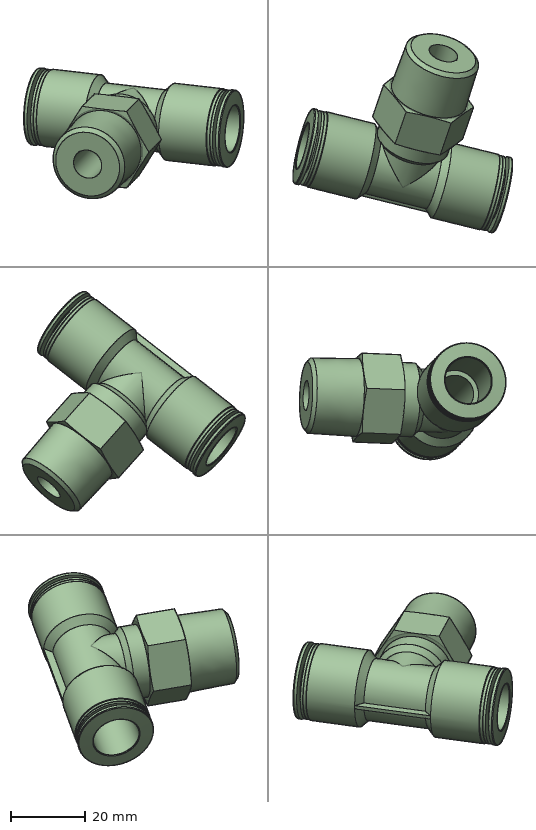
import cadquery as cq
import math

run_half_length = 28.25
socket_radius = 21.0 / 2
socket_tip_radius = 20.7 / 2
socket_inner_end = 10.6
socket_outer_end = 25.9
tip_step = 24.1
tip_step_length = 0.15
tip_groove = 25.1
tip_groove_width = 0.1
tip_groove_depth = 0.05
neck_radius = 8.5

collar_stem_radius = 14.1 / 2
collar_inner_face = 26.85
collar_rim_start = 27.6
collar_rim_end = 27.9
collar_rim_radius = 10.35
collar_stem_step = 26.5
collar_stem_wide_radius = 7.2

tube_bore_radius = 12.7 / 2
tube_bore_chamfer = 0.2
through_bore_radius = 10.0 / 2
stem_bore_radius = 8.0 / 2

web_thickness = 1.0

overall_depth = 49.5
stem_length = overall_depth - socket_radius
shoulder_radius = 20.0 / 2
shoulder_start = 9.55
shoulder_cone_start = shoulder_start - (shoulder_radius - neck_radius)
hex_start = 13.95
hex_end = 25.1
hex_across_flats = 22.0
hex_corner_radius = hex_across_flats / math.sqrt(3)
hex_face_radius = 10.95
hex_corner_drop = 0.3
male_root_radius = 10.55
male_tip_radius = 10.2
male_chamfer_radius = 9.1
male_chamfer_length = 1.0


def revolve_about_x(profile):
    """Turn (x, radius) points around the X axis."""
    return cq.Workplane("XY").polyline(profile).close().revolve(360, (0, 0, 0), (1, 0, 0))


def revolve_about_stem(profile):
    """Turn (distance along -Y, radius) points around the Y axis."""
    points = [(radius, -distance) for distance, radius in profile]
    return cq.Workplane("XY").polyline(points).close().revolve(360, (0, 0, 0), (0, 1, 0))


def make_run_half():
    socket_cone_end = socket_inner_end - (socket_radius - neck_radius)
    return revolve_about_x([
        (0, 0),
        (0, neck_radius),
        (socket_cone_end, neck_radius),
        (socket_inner_end, socket_radius),
        (tip_step, socket_radius),
        (tip_step + tip_step_length, socket_tip_radius),
        (tip_groove, socket_tip_radius),
        (tip_groove, socket_tip_radius - tip_groove_depth),
        (tip_groove + tip_groove_width, socket_tip_radius - tip_groove_depth),
        (tip_groove + tip_groove_width, socket_tip_radius),
        (socket_outer_end, socket_tip_radius),
        (socket_outer_end, collar_stem_wide_radius),
        (collar_stem_step, collar_stem_wide_radius),
        (collar_stem_step, collar_stem_radius),
        (collar_inner_face, collar_stem_radius),
        (collar_inner_face, socket_radius),
        (collar_rim_start, socket_radius),
        (collar_rim_end, collar_rim_radius),
        (run_half_length, tube_bore_radius + tube_bore_chamfer),
        (run_half_length, 0),
    ])


def make_stem():
    return revolve_about_stem([
        (0, 0),
        (0, neck_radius),
        (shoulder_cone_start, neck_radius),
        (shoulder_start, shoulder_radius),
        (hex_start, shoulder_radius),
        (hex_end, male_root_radius),
        (stem_length - male_chamfer_length, male_tip_radius),
        (stem_length, male_chamfer_radius),
        (stem_length, 0),
    ])


def make_hexagon():
    prism = (
        cq.Workplane("XZ", origin=(0, -hex_start, 0))
        .polygon(6, 2 * hex_corner_radius)
        .extrude(hex_end - hex_start)
    )
    corner_envelope = revolve_about_stem([
        (hex_start, 0),
        (hex_start, hex_face_radius),
        (hex_start + hex_corner_drop, hex_corner_radius),
        (hex_end - hex_corner_drop, hex_corner_radius),
        (hex_end, hex_face_radius),
        (hex_end, 0),
    ])
    return prism.intersect(corner_envelope)


def make_web():
    return cq.Workplane("XY").box(
        2 * socket_inner_end, socket_radius, web_thickness, centered=(True, False, True)
    )


def make_tube_bore():
    """Half of the run passage: tube socket with a stop shoulder at its bottom."""
    return revolve_about_x([
        (0, 0),
        (0, through_bore_radius),
        (socket_inner_end, through_bore_radius),
        (socket_inner_end, tube_bore_radius),
        (run_half_length - tube_bore_chamfer, tube_bore_radius),
        (run_half_length, tube_bore_radius + tube_bore_chamfer),
        (run_half_length, 0),
    ])


def make_stem_bore():
    return cq.Workplane("XZ").circle(stem_bore_radius).extrude(stem_length)


run_half = make_run_half()
run = run_half.union(run_half.mirror("YZ"))
body = run.union(make_stem()).union(make_hexagon()).union(make_web())

tube_bore = make_tube_bore()
result = body.cut(tube_bore).cut(tube_bore.mirror("YZ")).cut(make_stem_bore())